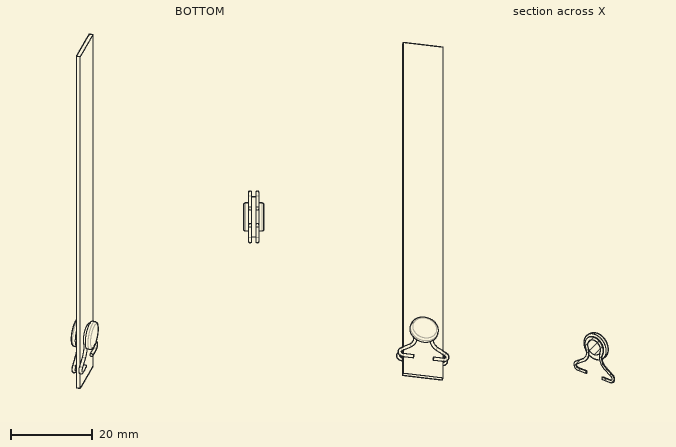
import cadquery as cq
import math

strip_length = 100.0
strip_width = 10.0
strip_thickness = 1.0

overall_thickness = 5.0
button_height = 13.0
head_diameter = 7.0
head_fillet = 0.5

wire_diameter = 0.8
loop_radius = 2.5
bend_radius = 3.0
hook_radius = 0.9
spring_width = 12.8
leg_slope = 33.0
foot_height = 5.2
foot_end = 2.5

face_x = strip_thickness / 2
wire_x = face_x + wire_diameter / 2
neck_length = wire_diameter
neck_radius = loop_radius - wire_diameter / 2
head_thickness = overall_thickness / 2 - face_x - neck_length


def point_on_arc(center, radius, degrees):
    """Point (y, z) on a circle, with the angle measured from +Y toward +Z."""
    angle = math.radians(degrees)
    return (center[0] + radius * math.cos(angle), center[1] + radius * math.sin(angle))


def make_button():
    """Neck and rounded head on the +X face of the strip."""
    plane = cq.Workplane("YZ", origin=(face_x, 0, button_height))
    neck = plane.circle(neck_radius).extrude(neck_length)
    head = (
        plane.workplane(offset=neck_length)
        .circle(head_diameter / 2)
        .extrude(head_thickness)
        .faces(">X")
        .edges()
        .fillet(head_fillet)
    )
    return neck.union(head)


def make_strip():
    """Strip with a button on both faces, as one body."""
    strip = cq.Workplane("XY").box(
        strip_thickness, strip_width, strip_length, centered=(True, True, False)
    )
    button = make_button()
    return strip.union(button).union(button.mirror("YZ"))


def make_spring(x):
    """Symmetric round-wire spring whose centreline lies in the plane at x."""
    loop_center = (0, button_height)
    hook_center = (
        spring_width / 2 - wire_diameter / 2 - hook_radius,
        foot_height + hook_radius,
    )

    normal_angle = 90 - leg_slope
    normal = point_on_arc((0, 0), 1, normal_angle)
    along = (normal[1], -normal[0])
    leg_outer = point_on_arc(hook_center, hook_radius, normal_angle)
    loop_to_leg = -normal[0] * leg_outer[0] + normal[1] * (button_height - leg_outer[1])
    across_offset = bend_radius - loop_to_leg
    along_offset = math.sqrt((loop_radius + bend_radius) ** 2 - across_offset**2)
    bend_center = (
        across_offset * normal[0] + along_offset * along[0],
        button_height + across_offset * normal[1] + along_offset * along[1],
    )

    foot_tip = (foot_end, foot_height)
    hook_bottom = (hook_center[0], foot_height)
    hook_middle = point_on_arc(hook_center, hook_radius, (normal_angle - 90) / 2)
    contact_angle = math.degrees(
        math.atan2(bend_center[1] - button_height, bend_center[0])
    )
    bend_outer = point_on_arc(bend_center, bend_radius, normal_angle + 180)
    bend_middle_angle = (contact_angle + normal_angle) / 2 + 180
    bend_middle = point_on_arc(bend_center, bend_radius, bend_middle_angle)
    loop_end = point_on_arc(loop_center, loop_radius, contact_angle)
    loop_top = (0, button_height + loop_radius)

    def mirrored(point):
        return (-point[0], point[1])

    path = (
        cq.Workplane("YZ", origin=(x, 0, 0))
        .moveTo(*foot_tip)
        .lineTo(*hook_bottom)
        .threePointArc(hook_middle, leg_outer)
        .lineTo(*bend_outer)
        .threePointArc(bend_middle, loop_end)
        .threePointArc(loop_top, mirrored(loop_end))
        .threePointArc(mirrored(bend_middle), mirrored(bend_outer))
        .lineTo(*mirrored(leg_outer))
        .threePointArc(mirrored(hook_middle), mirrored(hook_bottom))
        .lineTo(*mirrored(foot_tip))
    )
    profile = cq.Workplane("XZ", origin=(x, foot_end, foot_height)).circle(wire_diameter / 2)
    return profile.sweep(path)


strip = make_strip()
springs = [make_spring(side * wire_x) for side in (-1, 1)]

result = cq.Compound.makeCompound([strip.val(), *[spring.val() for spring in springs]])